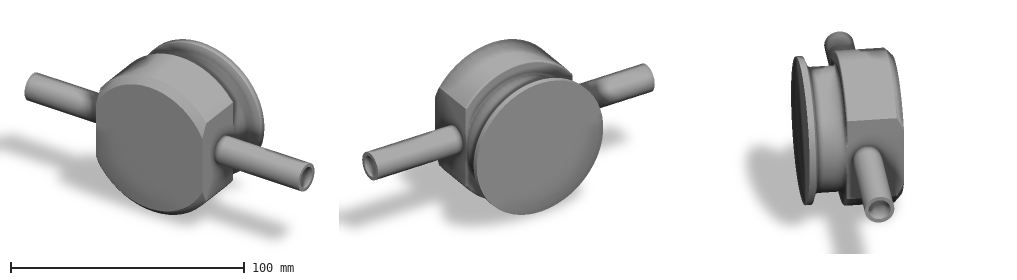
import cadquery as cq
import math

tube_length = 139.7
tube_diameter = 12.7
tube_bore = 9.4

neck_radius = 54.1 / 2
neck_root_radius = 0.8
flange_radius = 63.88 / 2
flange_back_y = 25.4
flange_rim_width = 2.75
flange_slope = math.radians(20)
flange_edge_radius = 0.5
flange_root_radius = 2.0

body_radius = 66.55 / 2
body_front_y = -15.875
body_back_y = 8.8
front_chamfer = 3.175
back_edge_radius = 0.8
width_over_flats = 2 * neck_radius

arc_middle = math.cos(math.radians(45))


def revolve_about_y(outline):
    """Close an XY outline and turn it about the Y axis."""
    return outline.close().revolve(360, (0, 0, 0), (0, 1, 0))


def slab_between_flats(back_y):
    """Plate as wide as the flats, ending at back_y and oversize elsewhere."""
    slab_length = 2 * flange_back_y
    slab = cq.Workplane("XY").box(width_over_flats, slab_length, 4 * body_radius)
    return slab.translate((0, back_y - slab_length / 2, 0))


def make_body():
    """Chamfered disc with two flats, its back edge rounded all the way round."""
    arc_offset = back_edge_radius * arc_middle
    arc_centre_x = body_radius - back_edge_radius
    arc_centre_y = body_back_y - back_edge_radius
    disc = revolve_about_y(
        cq.Workplane("XY")
        .moveTo(0, body_front_y)
        .lineTo(body_radius - front_chamfer, body_front_y)
        .lineTo(body_radius, body_front_y + front_chamfer)
        .lineTo(body_radius, arc_centre_y)
        .threePointArc(
            (arc_centre_x + arc_offset, arc_centre_y + arc_offset),
            (arc_centre_x, body_back_y),
        )
        .lineTo(0, body_back_y)
    )
    slab = slab_between_flats(body_back_y)
    slab = slab.faces(">Y").edges("|Z").fillet(back_edge_radius)
    return disc.intersect(slab)


def make_neck_root():
    """Concave ring between body and neck, trimmed so it stays within the flats."""
    outer_radius = neck_radius + neck_root_radius
    base_y = body_back_y - back_edge_radius
    top_y = body_back_y + neck_root_radius
    arc_offset = neck_root_radius * arc_middle
    ring = revolve_about_y(
        cq.Workplane("XY")
        .moveTo(0, base_y)
        .lineTo(outer_radius, base_y)
        .lineTo(outer_radius, body_back_y)
        .threePointArc((outer_radius - arc_offset, top_y - arc_offset), (neck_radius, top_y))
        .lineTo(0, top_y)
    )
    return ring.intersect(slab_between_flats(flange_back_y))


def make_ferrule():
    """Neck and clamp flange, with the sloped clamping side facing the body."""
    rim_y = flange_back_y - flange_rim_width
    slope_start_y = rim_y - (flange_radius - neck_radius) * math.tan(flange_slope)
    ferrule = revolve_about_y(
        cq.Workplane("XY")
        .moveTo(0, body_back_y)
        .lineTo(neck_radius, body_back_y)
        .lineTo(neck_radius, slope_start_y)
        .lineTo(flange_radius, rim_y)
        .lineTo(flange_radius, flange_back_y)
        .lineTo(0, flange_back_y)
    )
    ferrule = round_circle(ferrule, slope_start_y, flange_root_radius)
    return round_circle(ferrule, rim_y, flange_edge_radius)


def round_circle(solid, circle_y, fillet_radius):
    """Fillet the circular edge, centred on the Y axis, at the given Y."""
    margin = 0.01
    around_centre = cq.selectors.BoxSelector(
        (-margin, circle_y - margin, -margin),
        (margin, circle_y + margin, margin),
    )
    return solid.edges("%CIRCLE").edges(around_centre).fillet(fillet_radius)


def rod_along_x(diameter):
    """Round rod of the tube's full length, centred on the origin."""
    return cq.Workplane("YZ").circle(diameter / 2).extrude(tube_length / 2, both=True)


result = (
    make_body()
    .union(make_neck_root())
    .union(make_ferrule())
    .union(rod_along_x(tube_diameter))
    .cut(rod_along_x(tube_bore))
)